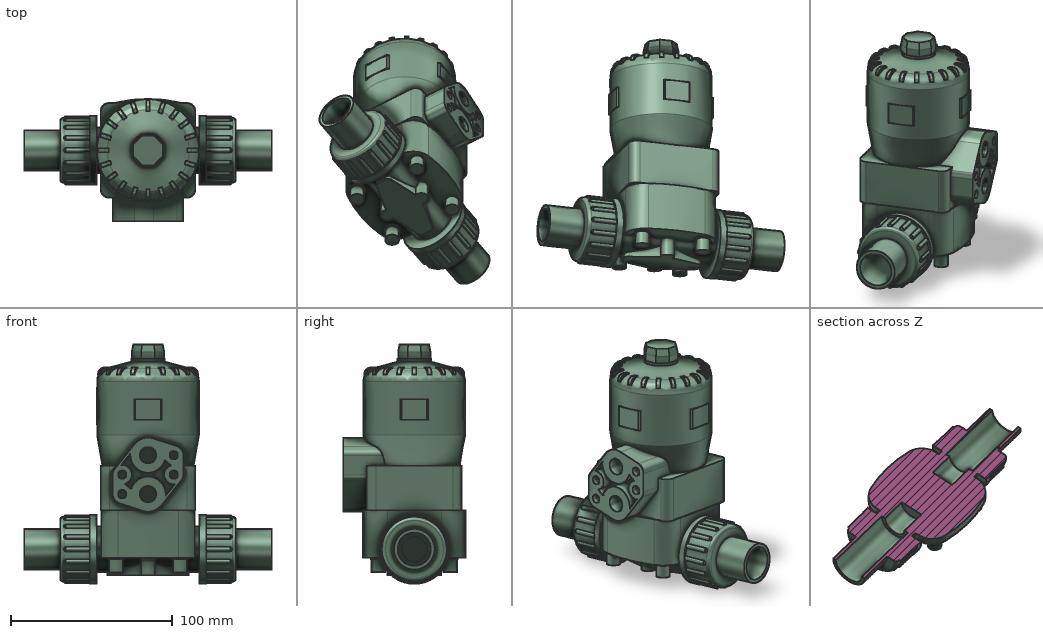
import cadquery as cq
import math


overall_length = 153.0
pipe_radius = 12.5
bore_radius = 10.3
neck_radius = 14.2
inner_bore_radius = 7.6
inner_bore_end = 15.3

nut_inner_x = 31.7
nut_outer_x = 54.3
nut_collar_radius = 21.4
nut_collar_width = 4.3
nut_body_radius = 20.0
nut_edge_fillet = 2.1
nut_rib_count = 16
nut_rib_radius = 1.5
nut_rib_offset = 19.6
nut_rib_chamfer = 1.2

body_bottom = -5.4
body_top = 24.2
body_half_width = 28.9
body_half_depth = 31.8
body_face_radius = 84.2
body_corner_radius = 13.3

flange_top = 51.4
flange_width = 58.6
flange_corner_radius = 5.5

screw_radius = 4.3
screw_bottom = -14.0
screw_x = 19.7
screw_y = 22.2
washer_radius = 4.7
washer_thickness = 0.9
foot_bottom = -16.2
foot_post_radius = 4.3
foot_half_length = 25.1
foot_half_depth = 16.7
foot_end_half_depth = 4.6
foot_middle_half_depth = 12.2
foot_end_radius = 3.0

housing_radius = 31.5
housing_base_radius = 28.2
housing_straight_bottom = 70.7
cap_edge_height = 110.2
cap_fillet = 8.4
cap_neck_radius = 10.4
cap_neck_bottom = 115.8
cap_neck_top = 117.5

cap_rib_count = 20
cap_rib_width = 2.5
cap_rib_bottom = 107.9
cap_rib_top = 112.3
cap_rib_inner_radius = 24.2
cap_rib_crest_radius = 26.8
cap_rib_outer_radius = 30.9

plug_sides = 8
plug_width = 20.0
plug_top_width = 18.2
plug_taper_bottom = 122.1
plug_top = 126.5

pad_base_width = 17.1
pad_face_width = 15.6
pad_bottom = 79.9
pad_top = 92.5
pad_relief = 1.2

port_face_y = -43.9
port_center_z = 46.0
port_spacing = 24.0
port_boss_radius = 10.9
port_hole_radius = 5.0
port_hole_depth = 15.3
port_screw_x = 15.9
port_corner_radius = 6.0
port_screw_hole_radius = 2.6
port_screw_hole_depth = 9.2
pocket_depth = 10.0
pocket_width = 26.6
pocket_wall = 1.8


def union_end():
    """Pipe stub, union nut and half of the neck on the +X side."""
    half_length = overall_length / 2
    nut = cq.Workplane("YZ", origin=(nut_inner_x, 0, 0)).circle(nut_body_radius)
    nut = nut.extrude(nut_outer_x - nut_inner_x).faces(">X").edges().fillet(nut_edge_fillet)

    rib_length = nut_outer_x - nut_edge_fillet - nut_inner_x
    rib = (
        cq.Workplane("YZ", origin=(nut_inner_x, 0, nut_rib_offset))
        .circle(nut_rib_radius)
        .extrude(rib_length)
        .faces(">X")
        .chamfer(nut_rib_chamfer)
    )
    for index in range(nut_rib_count):
        nut = nut.union(rib.rotate((0, 0, 0), (1, 0, 0), index * 360 / nut_rib_count))

    collar = cq.Workplane("YZ", origin=(nut_inner_x, 0, 0)).circle(nut_collar_radius)
    neck = cq.Workplane("YZ").circle(neck_radius).extrude(nut_inner_x)
    pipe = cq.Workplane("YZ").circle(pipe_radius).extrude(half_length)
    return nut.union(collar.extrude(nut_collar_width)).union(neck).union(pipe)


def bore():
    """Stepped blind bore of the +X pipe end."""
    half_length = overall_length / 2
    wide = cq.Workplane("YZ", origin=(nut_inner_x, 0, 0)).circle(bore_radius)
    narrow = cq.Workplane("YZ", origin=(inner_bore_end, 0, 0)).circle(inner_bore_radius)
    return wide.extrude(half_length - nut_inner_x).union(narrow.extrude(half_length - inner_bore_end))


def valve_body():
    """Block with bulged front and back faces and large rounded corners."""
    face_center = body_half_depth - body_face_radius
    side_y = face_center + math.sqrt(body_face_radius**2 - body_half_width**2)
    return (
        cq.Workplane("XY", origin=(0, 0, body_bottom))
        .moveTo(-body_half_width, -side_y)
        .threePointArc((0, -body_half_depth), (body_half_width, -side_y))
        .lineTo(body_half_width, side_y)
        .threePointArc((0, body_half_depth), (-body_half_width, side_y))
        .close()
        .extrude(body_top - body_bottom)
        .edges("|Z")
        .fillet(body_corner_radius)
    )


def flange():
    return (
        cq.Workplane("XY", origin=(0, 0, body_top))
        .rect(flange_width, flange_width)
        .extrude(flange_top - body_top)
        .edges("|Z")
        .fillet(flange_corner_radius)
    )


def screws():
    under_body = cq.Workplane("XY", origin=(0, 0, body_bottom))
    corners = under_body.rect(2 * screw_x, 2 * screw_y, forConstruction=True).vertices()
    washers = corners.circle(washer_radius).extrude(-washer_thickness)
    return corners.circle(screw_radius).extrude(screw_bottom - body_bottom).union(washers)


def foot():
    """Lens-shaped foot with a round post in the middle of each long side."""
    height = body_top - foot_bottom
    base = cq.Workplane("XY", origin=(0, 0, foot_bottom))
    web = (
        base.polyline(
            [
                (0, foot_middle_half_depth),
                (foot_half_length, foot_end_half_depth),
                (foot_half_length, -foot_end_half_depth),
                (0, -foot_middle_half_depth),
                (-foot_half_length, -foot_end_half_depth),
                (-foot_half_length, foot_end_half_depth),
            ]
        )
        .close()
        .extrude(-foot_bottom)
        .edges("|Z and (>X or <X)")
        .fillet(foot_end_radius)
    )
    post_y = foot_half_depth - foot_post_radius
    posts = base.pushPoints([(0, post_y), (0, -post_y)]).circle(foot_post_radius).extrude(height)
    return web.union(posts)


def housing():
    """Turned actuator housing with a domed cap."""
    profile = (
        cq.Workplane("XZ")
        .polyline(
            [
                (0, flange_top),
                (housing_base_radius, flange_top),
                (housing_radius, housing_straight_bottom),
                (housing_radius, cap_edge_height),
                (cap_neck_radius, cap_neck_bottom),
                (cap_neck_radius, cap_neck_top),
                (0, cap_neck_top),
            ]
        )
        .close()
    )
    turned = profile.revolve(360, (0, 0, 0), (0, 1, 0))
    widest_edges = turned.edges(cq.selectors.RadiusNthSelector(-1))
    return widest_edges.edges(">Z").fillet(cap_fillet)


def cap_ribs():
    """Ring of short arched ribs over the rounded edge of the cap."""
    arch_width = cap_rib_outer_radius - cap_rib_crest_radius
    arch_height = cap_rib_top - cap_rib_bottom
    arch_middle = (
        cap_rib_crest_radius + arch_width * math.sin(math.pi / 4),
        cap_rib_bottom + arch_height * math.cos(math.pi / 4),
    )
    rib = (
        cq.Workplane("XZ")
        .moveTo(cap_rib_inner_radius, cap_rib_bottom)
        .lineTo(cap_rib_inner_radius, cap_rib_top)
        .lineTo(cap_rib_crest_radius, cap_rib_top)
        .threePointArc(arch_middle, (cap_rib_outer_radius, cap_rib_bottom))
        .close()
        .extrude(cap_rib_width / 2, both=True)
    )
    ribs = rib
    for index in range(1, cap_rib_count):
        ribs = ribs.union(rib.rotate((0, 0, 0), (0, 0, 1), index * 360 / cap_rib_count))
    return ribs


def octagon(z, width):
    """Octagonal outline at height z, with flats across X and Y."""
    circumscribed = width / math.cos(math.pi / plug_sides)
    turn = cq.Vector(0, 0, 180 / plug_sides)
    return cq.Workplane("XY", origin=(0, 0, z)).transformed(rotate=turn).polygon(plug_sides, circumscribed)


def plug():
    straight = octagon(cap_neck_top, plug_width).extrude(plug_taper_bottom - cap_neck_top)
    taper_height = plug_top - plug_taper_bottom
    taper_angle = math.degrees(math.atan((plug_width - plug_top_width) / 2 / taper_height))
    tapered = octagon(plug_taper_bottom, plug_width).extrude(taper_height, taper=taper_angle)
    return straight.union(tapered)


def name_pads():
    """Flat pads with sloping sides at the four quarters of the housing."""
    pad = (
        cq.Workplane("XY", origin=(0, 0, pad_bottom))
        .polyline(
            [
                (housing_base_radius, pad_base_width / 2),
                (housing_radius - pad_relief, pad_base_width / 2),
                (housing_radius, pad_face_width / 2),
                (housing_radius, -pad_face_width / 2),
                (housing_radius - pad_relief, -pad_base_width / 2),
                (housing_base_radius, -pad_base_width / 2),
            ]
        )
        .close()
        .extrude(pad_top - pad_bottom)
    )
    pads = pad
    for index in range(1, 4):
        pads = pads.union(pad.rotate((0, 0, 0), (0, 0, 1), index * 90))
    return pads


def tangent_points(start, start_radius, end, end_radius):
    """Points where the outer tangent of two circles touches them, left of the travel direction."""
    heading = math.atan2(end[1] - start[1], end[0] - start[0])
    distance = math.hypot(end[0] - start[0], end[1] - start[1])
    normal = heading + math.acos((start_radius - end_radius) / distance)
    return [
        (x + radius * math.cos(normal), z + radius * math.sin(normal))
        for (x, z), radius in ((start, start_radius), (end, end_radius))
    ]


def port_block():
    """Block wrapped around two ports and four screws, with a cast pocket in its face."""
    half_spacing = port_spacing / 2
    ports = [(0, half_spacing), (0, -half_spacing)]
    middle_screws = [(port_screw_x, 0), (-port_screw_x, 0)]
    outer_screws = [(port_screw_x, half_spacing), (-port_screw_x, -half_spacing)]

    bosses = [
        (ports[0], port_boss_radius),
        (outer_screws[0], port_corner_radius),
        (middle_screws[0], port_corner_radius),
        (ports[1], port_boss_radius),
        (outer_screws[1], port_corner_radius),
        (middle_screws[1], port_corner_radius),
    ]
    sides = [
        tangent_points(*boss, *bosses[(index + 1) % len(bosses)]) for index, boss in enumerate(bosses)
    ]
    outline = cq.Workplane("XZ", origin=(0, 0, port_center_z)).moveTo(*sides[-1][1])
    for (center, radius), side, previous in zip(bosses, sides, sides[-1:] + sides[:-1]):
        chord_x = (previous[1][0] + side[0][0]) / 2 - center[0]
        chord_z = (previous[1][1] + side[0][1]) / 2 - center[1]
        reach = radius / math.hypot(chord_x, chord_z)
        crown = (center[0] + reach * chord_x, center[1] + reach * chord_z)
        outline = outline.threePointArc(crown, side[0]).lineTo(*side[1])
    block = outline.close().extrude(-port_face_y)

    (side_x, side_z), (next_x, next_z) = sides[-1]
    slope = math.atan2(side_z - next_z, side_x - next_x)
    side_distance = abs(side_x * math.sin(slope) - side_z * math.cos(slope))
    pocket_length = 2 * (side_distance - pocket_wall)
    face = cq.Workplane("XZ", origin=(0, port_face_y, port_center_z))
    pocket = (
        face.transformed(rotate=cq.Vector(0, 0, math.degrees(slope)))
        .rect(pocket_width, pocket_length)
        .extrude(-pocket_depth)
        .cut(face.pushPoints(ports).circle(port_boss_radius).extrude(-pocket_depth))
        .cut(face.pushPoints(middle_screws).circle(port_corner_radius).extrude(-pocket_depth))
        .intersect(block)
    )
    port_holes = face.pushPoints(ports).circle(port_hole_radius).extrude(-port_hole_depth)
    screw_holes = face.pushPoints(middle_screws + outer_screws).circle(port_screw_hole_radius)
    return block, pocket.union(port_holes).union(screw_holes.extrude(-port_screw_hole_depth))


port, port_openings = port_block()
pipe_end = union_end()
pipe_bore = bore()

result = pipe_end.union(pipe_end.mirror("YZ"))
for feature in (valve_body(), flange(), screws(), foot(), housing(), cap_ribs(), plug(), name_pads(), port):
    result = result.union(feature)
for opening in (pipe_bore, pipe_bore.mirror("YZ"), port_openings):
    result = result.cut(opening)